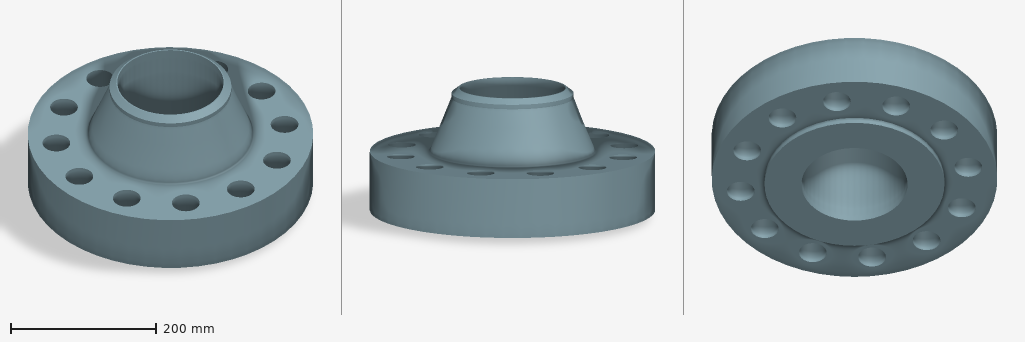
import cadquery as cq
import math

flange_diameter = 393.5
flange_thickness = 82.5
total_height = 181.0

face_diameter = 248.0
face_height = 9.5

hub_base_diameter = 228.5
weld_end_diameter = 168.0
bore_diameter = 146.5
weld_land_width = 1.5
bevel_angle = 37.5
weld_end_straight = 6.3
hub_fillet_radius = 3.0

bolt_circle_diameter = 317.2
bolt_hole_diameter = 38.0
bolt_hole_count = 12

edge_margin = 0.5

flange_top = face_height + flange_thickness
land_radius = bore_diameter / 2 + weld_land_width
bevel_width = weld_end_diameter / 2 - land_radius
bevel_bottom = total_height - bevel_width * math.tan(math.radians(bevel_angle))
taper_top = bevel_bottom - weld_end_straight


def flange_body():
    """Revolve the half section: raised face, plate, tapered hub and bevelled weld end."""
    half_section = [
        (bore_diameter / 2, 0),
        (face_diameter / 2, 0),
        (face_diameter / 2, face_height),
        (flange_diameter / 2, face_height),
        (flange_diameter / 2, flange_top),
        (hub_base_diameter / 2, flange_top),
        (weld_end_diameter / 2, taper_top),
        (weld_end_diameter / 2, bevel_bottom),
        (land_radius, total_height),
        (bore_diameter / 2, total_height),
    ]
    body = cq.Workplane("XZ").polyline(half_section).close().revolve(360, (0, 0), (0, 1))

    base_radius = hub_base_diameter / 2 + edge_margin
    base_edge = cq.selectors.BoxSelector(
        (-base_radius, -base_radius, flange_top - edge_margin),
        (base_radius, base_radius, flange_top + edge_margin),
        boundingbox=True,
    )
    return body.edges(base_edge).fillet(hub_fillet_radius)


def bolt_holes():
    """Ring of through-hole cutters, the first one on the +X axis."""
    return (
        cq.Workplane("XY")
        .polarArray(bolt_circle_diameter / 2, 0, 360, bolt_hole_count)
        .circle(bolt_hole_diameter / 2)
        .extrude(flange_top)
    )


result = flange_body().cut(bolt_holes())